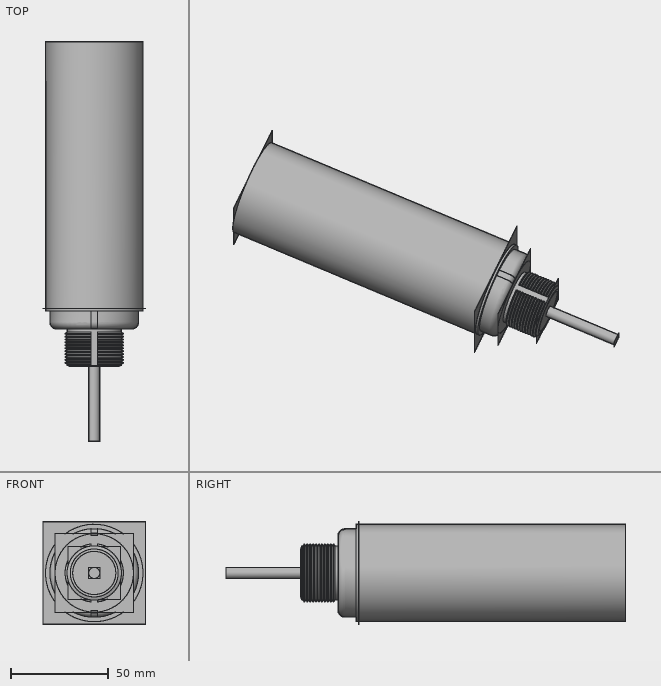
import cadquery as cq

LENGTH = 204.5
SHEET = 0.1

BODY_RADIUS = 25.0
BODY_FRONT = 66.7

NECK_RADIUS = 22.7
NECK_FRONT = 57.5
NECK_FILLET = 3.5

THREAD_CREST_RADIUS = 15.0
THREAD_ROOT_RADIUS = 14.0
THREAD_PITCH = 1.5
THREAD_TURNS = 11
THREAD_BACK = 55.8
CREST_FLAT = THREAD_PITCH / 8
STUB_FRONT = 38.2
STUB_CHAMFER = 1.6
STUB_CHAMFER_LENGTH = 0.6
END_RECESS_RADIUS = 11.0
END_RECESS_DEPTH = 0.2

MARK_WIDTH = 3.3
NECK_MARK_DEPTH = 0.2

CABLE_RADIUS = 2.9

SHEETS = [
    (2 * CABLE_RADIUS, 0.0),
    (27.0, STUB_FRONT + STUB_CHAMFER_LENGTH),
    (40.3, NECK_FRONT),
    (52.5, 68.0),
    (47.5, LENGTH - SHEET),
]


def cylinder(radius, front, back):
    """Solid cylinder on the Y axis between two Y positions."""
    return cq.Workplane("XZ", origin=(0, back, 0)).circle(radius).extrude(back - front)


def axial_bar(width, front, back):
    """Bar through the axis, taller than the housing, used to cut marks at top and bottom."""
    length = back - front
    return cq.Workplane("XY").box(width, length, 2 * BODY_RADIUS).translate((0, front + length / 2, 0))


def rounded_neck(inset):
    """Neck with its front edge rounded, shrunk inward by the inset."""
    neck = cylinder(NECK_RADIUS - inset, NECK_FRONT + inset, BODY_FRONT)
    return neck.faces("<Y").edges().fillet(NECK_FILLET - inset)


def marked_neck():
    """Neck with a shallow mark that follows its surface at top and bottom."""
    skin = rounded_neck(0).cut(rounded_neck(NECK_MARK_DEPTH))
    mark = axial_bar(MARK_WIDTH, NECK_FRONT + NECK_MARK_DEPTH, BODY_FRONT)
    return rounded_neck(0).cut(skin.intersect(mark))


def threaded_stub():
    """Stub with ring-shaped thread ridges, a chamfered and recessed end, and two keyways."""
    chamfer_back = STUB_FRONT + STUB_CHAMFER_LENGTH
    recess_floor = STUB_FRONT + END_RECESS_DEPTH
    outline = (
        cq.Workplane("XY")
        .moveTo(0, recess_floor)
        .lineTo(END_RECESS_RADIUS, recess_floor)
        .lineTo(END_RECESS_RADIUS, STUB_FRONT)
        .lineTo(THREAD_ROOT_RADIUS - STUB_CHAMFER, STUB_FRONT)
        .lineTo(THREAD_ROOT_RADIUS, chamfer_back)
    )
    thread_front = THREAD_BACK - THREAD_TURNS * THREAD_PITCH
    for turn in range(THREAD_TURNS):
        root = thread_front + turn * THREAD_PITCH
        crest = root + THREAD_PITCH / 2
        outline = (
            outline.lineTo(THREAD_ROOT_RADIUS, root)
            .lineTo(THREAD_CREST_RADIUS, crest - CREST_FLAT / 2)
            .lineTo(THREAD_CREST_RADIUS, crest + CREST_FLAT / 2)
        )
    outline = (
        outline.lineTo(THREAD_ROOT_RADIUS, THREAD_BACK)
        .lineTo(THREAD_ROOT_RADIUS, NECK_FRONT)
        .lineTo(0, NECK_FRONT)
        .close()
    )
    stub = outline.revolve(360, (0, 0, 0), (0, 1, 0))
    thread_core = cylinder(THREAD_ROOT_RADIUS, chamfer_back, THREAD_BACK)
    keyways = axial_bar(MARK_WIDTH, chamfer_back, THREAD_BACK).cut(thread_core)
    return stub.cut(keyways)


def square_sheet(side, front):
    """Thin square sheet centred on the axis and normal to it."""
    return cq.Workplane("XY").box(side, SHEET, side).translate((0, front + SHEET / 2, 0))


result = (
    cylinder(BODY_RADIUS, BODY_FRONT, LENGTH)
    .union(marked_neck())
    .union(threaded_stub())
    .union(cylinder(CABLE_RADIUS, 0, NECK_FRONT))
)
for sheet_side, sheet_front in SHEETS:
    result = result.union(square_sheet(sheet_side, sheet_front))